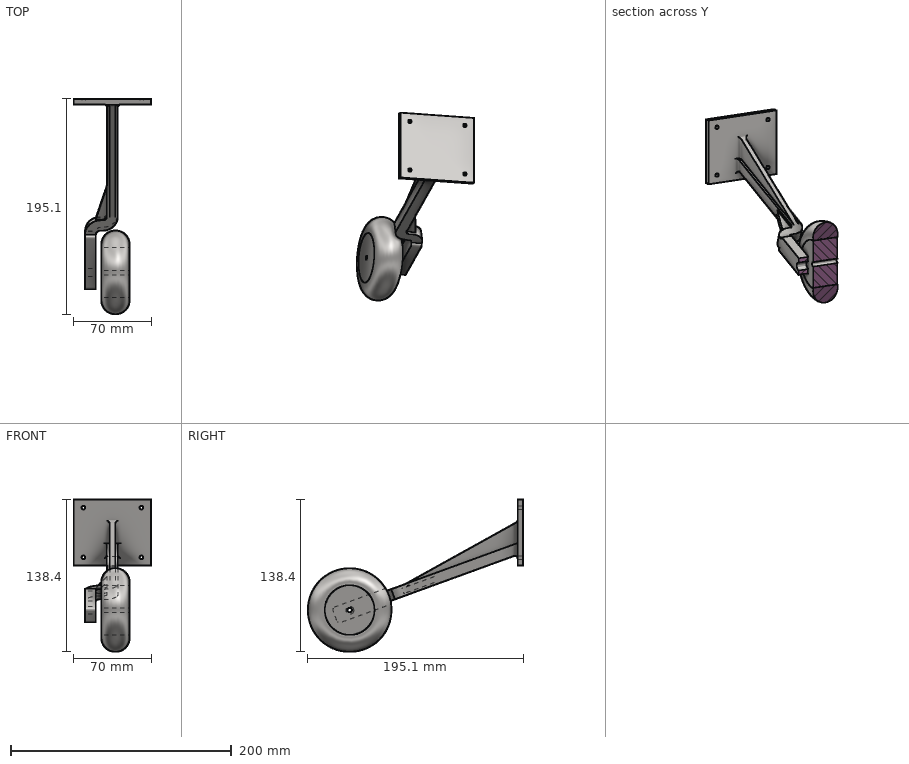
import cadquery as cq
import math

plate_width = 70.0
plate_height = 60.1
plate_thickness = 5.0
screw_hole_diameter = 3.1
screw_spacing_x = 52.5
screw_spacing_z = 45.0

wheel_diameter = 76.1
tyre_width = 26.0
hub_diameter = 45.0
hub_bore_diameter = 4.0
wheel_center_x = 2.7
overall_length = 195.1
axle_y = plate_thickness - overall_length + wheel_diameter / 2
axle_z = -70.3

arm_slope = 20.0
arm_size = 10.0
arm_offset_x = -20.0
crank_distance = 46.8
bend_inner_radius = 4.0

paddle_height = 15.0
paddle_end = 14.5
paddle_corner_radius = 3.0
paddle_shoulder_radius = 2.3
axle_hole_diameter = 7.0

rib_width = 5.0
rib_root_z = 9.8
rib_tip_distance = 55.5
gusset_thickness = 5.0
gusset_start_distance = 83.1
gusset_end_distance = 51.3
gusset_end_x = -15.2
root_fillet_radius = 2.5

half_arm = arm_size / 2
bend_outer_radius = bend_inner_radius + arm_size
crossbar_near = crank_distance - half_arm
crossbar_far = crank_distance + half_arm
paddle_start = crossbar_far - bend_outer_radius
slope_cos = math.cos(math.radians(arm_slope))
slope_sin = math.sin(math.radians(arm_slope))
tyre_ring_radius = (wheel_diameter - tyre_width) / 2
hub_width = 2 * math.sqrt((tyre_width / 2) ** 2 - (tyre_ring_radius - hub_diameter / 2) ** 2)
arm_length = (plate_thickness / 2 - axle_y) / slope_cos

arm_plane = cq.Plane(
    origin=(0, axle_y, axle_z),
    xDir=(1, 0, 0),
    normal=(0, -slope_sin, slope_cos),
)


def make_plate():
    plate = cq.Workplane("XY").box(
        plate_width, plate_thickness, plate_height, centered=(True, False, True)
    )
    screw_holes = (
        cq.Workplane("XZ")
        .rarray(screw_spacing_x, screw_spacing_z, 2, 2)
        .circle(screw_hole_diameter / 2)
        .extrude(-plate_thickness)
    )
    return plate.cut(screw_holes)


def make_cranked_arm():
    outer_x = arm_offset_x - half_arm
    inner_x = arm_offset_x + half_arm
    r_in = bend_inner_radius
    r_out = bend_outer_radius
    return (
        cq.Workplane(arm_plane)
        .moveTo(half_arm, arm_length)
        .lineTo(half_arm, crossbar_near + r_out)
        .radiusArc((half_arm - r_out, crossbar_near), r_out)
        .lineTo(inner_x + r_in, crossbar_near)
        .radiusArc((inner_x, crossbar_near - r_in), -r_in)
        .lineTo(inner_x, 0)
        .lineTo(outer_x, 0)
        .lineTo(outer_x, crossbar_far - r_out)
        .radiusArc((outer_x + r_out, crossbar_far), r_out)
        .lineTo(-half_arm - r_in, crossbar_far)
        .radiusArc((-half_arm, crossbar_far + r_in), -r_in)
        .lineTo(-half_arm, arm_length)
        .close()
        .extrude(half_arm, both=True)
    )


def make_paddle():
    half_height = paddle_height / 2
    side_plane = cq.Plane(
        origin=(arm_offset_x, axle_y, axle_z),
        xDir=(0, slope_cos, slope_sin),
        normal=(1, 0, 0),
    )
    r_end = paddle_corner_radius
    r_shoulder = paddle_shoulder_radius
    return (
        cq.Workplane(side_plane)
        .moveTo(paddle_start, half_height - r_shoulder)
        .radiusArc((paddle_start - r_shoulder, half_height), -r_shoulder)
        .lineTo(r_end - paddle_end, half_height)
        .radiusArc((-paddle_end, half_height - r_end), -r_end)
        .lineTo(-paddle_end, r_end - half_height)
        .radiusArc((r_end - paddle_end, -half_height), -r_end)
        .lineTo(paddle_start - r_shoulder, -half_height)
        .radiusArc((paddle_start, r_shoulder - half_height), -r_shoulder)
        .close()
        .extrude(half_arm, both=True)
    )


def make_rib():
    tip_y = axle_y + rib_tip_distance * slope_cos - half_arm * slope_sin
    tip_z = axle_z + rib_tip_distance * slope_sin + half_arm * slope_cos
    arm_root_z = axle_z - axle_y * slope_sin / slope_cos
    return (
        cq.Workplane("YZ")
        .polyline([(0, rib_root_z), (tip_y, tip_z), (0, arm_root_z)])
        .close()
        .extrude(rib_width / 2, both=True)
    )


def make_gusset():
    return (
        cq.Workplane(arm_plane)
        .moveTo(-half_arm, gusset_start_distance)
        .lineTo(gusset_end_x, gusset_end_distance)
        .lineTo(gusset_end_x, crank_distance)
        .lineTo(0, crank_distance)
        .lineTo(0, gusset_start_distance)
        .close()
        .extrude(gusset_thickness / 2, both=True)
    )


def axle_cylinder(diameter, width, center_x):
    return (
        cq.Workplane("YZ", origin=(center_x, axle_y, axle_z))
        .circle(diameter / 2)
        .extrude(width / 2, both=True)
    )


def fillet_root(strut, rounded_end):
    """Round the joint of a member with the plate, at its sides and one end."""
    margin = 0.2
    root_zone = cq.selectors.BoxSelector(
        (-arm_size, -margin, -screw_spacing_z / 2),
        (arm_size, margin, screw_spacing_z / 2),
    )
    root_edges = strut.edges(root_zone)
    return root_edges.edges(f"|Z or {rounded_end}").fillet(root_fillet_radius)


def make_strut():
    plate_with_arm = fillet_root(make_plate().union(make_cranked_arm()), "<Z")
    plate_with_rib = fillet_root(make_plate().union(make_rib()), ">Z")
    strut = plate_with_arm.union(plate_with_rib)
    strut = strut.union(make_gusset()).union(make_paddle())
    return strut.cut(axle_cylinder(axle_hole_diameter, arm_size, arm_offset_x))


def make_hub():
    hub = axle_cylinder(hub_diameter, hub_width, wheel_center_x)
    return hub.cut(axle_cylinder(hub_bore_diameter, hub_width, wheel_center_x))


def make_tyre():
    hub_radius = hub_diameter / 2
    half_hub = hub_width / 2
    profile_plane = cq.Plane(
        origin=(wheel_center_x, axle_y, axle_z),
        xDir=(1, 0, 0),
        normal=(0, -1, 0),
    )
    return (
        cq.Workplane(profile_plane)
        .moveTo(-half_hub, hub_radius)
        .threePointArc((0, wheel_diameter / 2), (half_hub, hub_radius))
        .close()
        .revolve(360, (0, 0, 0), (1, 0, 0))
    )


strut = make_strut()
hub = make_hub()
tyre = make_tyre()

result = cq.Compound.makeCompound([strut.val(), hub.val(), tyre.val()])